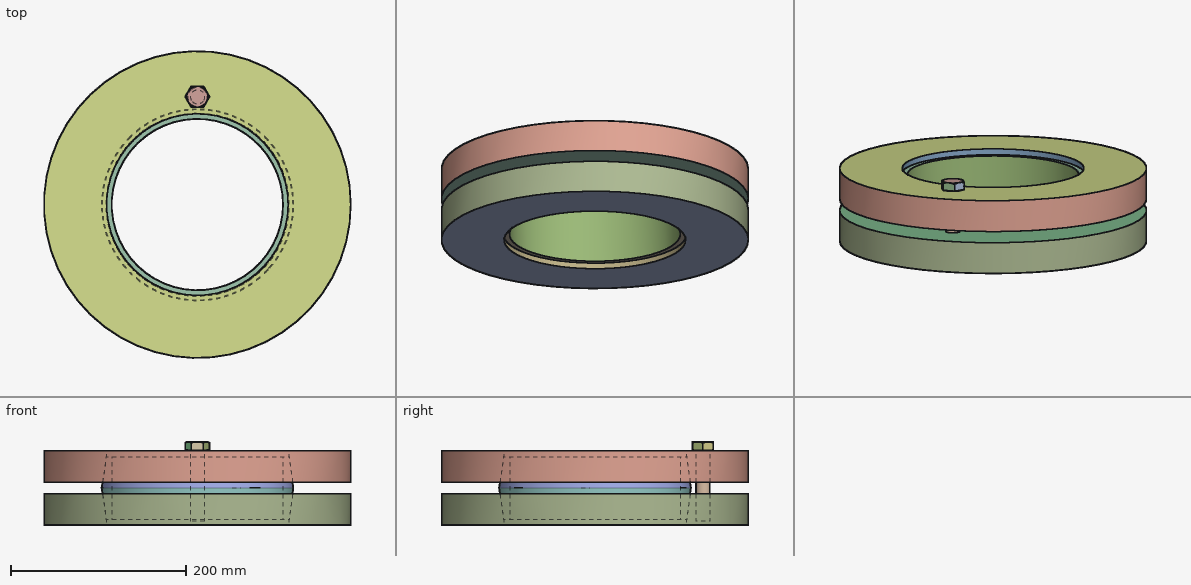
import cadquery as cq
import math


thrust_ring_diameter = 350.0
thrust_ring_thickness = 36.0
thrust_ring_gap = 13.0
stack_height = 2 * thrust_ring_thickness + thrust_ring_gap
mid_height = stack_height / 2

ridge_diameter = 219.0
seat_mouth_diameter = 207.0

inner_ring_bore = 195.0
inner_ring_setback = 7.0
inner_ring_length = stack_height - 2 * inner_ring_setback

bolt_offset = 123.0
shank_diameter = 16.0
shank_length = 80.0
head_across_flats = 24.0
head_across_corners = head_across_flats / math.cos(math.radians(30))
head_height = 10.0
head_chamfer_angle = 30.0
washer_face_diameter = 22.0
washer_face_height = 0.6


def make_double_cone():
    """Solid tapering from the ridge at mid height to the mouths at both outer faces."""
    ridge_radius = ridge_diameter / 2
    mouth_radius = seat_mouth_diameter / 2
    return (
        cq.Workplane("XZ")
        .moveTo(0, 0)
        .lineTo(mouth_radius, 0)
        .lineTo(ridge_radius, mid_height)
        .lineTo(mouth_radius, stack_height)
        .lineTo(0, stack_height)
        .close()
        .revolve(360, (0, 0, 0), (0, 1, 0))
    )


def make_shank():
    """Bolt shank hanging down from the top face; also cuts the bolt holes."""
    return (
        cq.Workplane("XY", origin=(0, bolt_offset, stack_height))
        .circle(shank_diameter / 2)
        .extrude(-shank_length)
    )


def make_thrust_ring(base_height):
    """Thrust ring with a tapered bore and a hole that fits the bolt shank."""
    disc = (
        cq.Workplane("XY", origin=(0, 0, base_height))
        .circle(thrust_ring_diameter / 2)
        .extrude(thrust_ring_thickness)
    )
    return disc.cut(make_double_cone()).cut(make_shank())


def make_inner_ring():
    """Tube with a plain bore and a double-tapered outside."""
    blank_radius = thrust_ring_diameter / 2
    tube = (
        cq.Workplane("XY", origin=(0, 0, inner_ring_setback))
        .circle(blank_radius)
        .circle(inner_ring_bore / 2)
        .extrude(inner_ring_length)
    )
    return tube.intersect(make_double_cone())


def make_head_envelope():
    """Turned outline of the head: washer face below, conical chamfer on top."""
    washer_radius = washer_face_diameter / 2
    top_radius = head_across_flats / 2
    corner_radius = head_across_corners / 2
    chamfer_drop = (corner_radius - top_radius) * math.tan(math.radians(head_chamfer_angle))
    return (
        cq.Workplane("XZ")
        .moveTo(0, 0)
        .lineTo(washer_radius, 0)
        .lineTo(washer_radius, washer_face_height)
        .lineTo(corner_radius, washer_face_height)
        .lineTo(corner_radius, head_height - chamfer_drop)
        .lineTo(top_radius, head_height)
        .lineTo(0, head_height)
        .close()
        .revolve(360, (0, 0, 0), (0, 1, 0))
    )


def make_bolt():
    """Hexagon bolt seated on the upper thrust ring, two corners along X."""
    hexagon = cq.Workplane("XY").polygon(6, head_across_corners).extrude(head_height)
    head = hexagon.intersect(make_head_envelope()).translate((0, bolt_offset, stack_height))
    return head.union(make_shank())


thrust_ring_heights = [0, thrust_ring_thickness + thrust_ring_gap]
thrust_rings = [make_thrust_ring(height) for height in thrust_ring_heights]
inner_ring = make_inner_ring()
bolt = make_bolt()

result = cq.Compound.makeCompound([
    *[ring.val() for ring in thrust_rings],
    inner_ring.val(),
    bolt.val(),
])